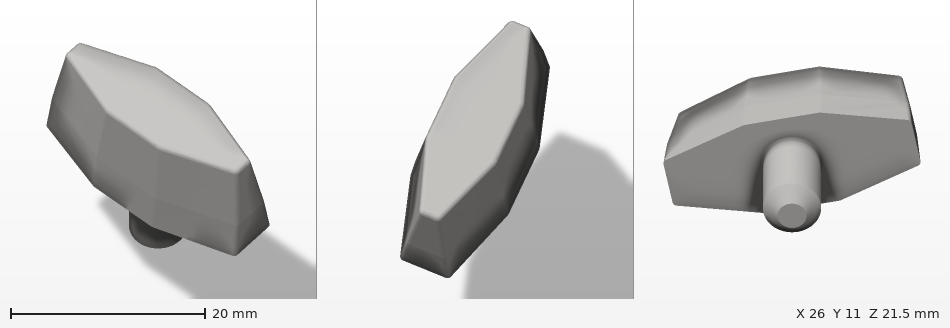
import cadquery as cq

head_length = 26.0
head_width = 11.0
overall_height = 21.5
stem_length = 10.0
head_height = overall_height - stem_length
break_height = 4.32

stem_diameter = 6.0
tip_chamfer = 1.5
root_fillet = 0.23

end_corner_radius = 0.5
side_corner_radius = 1.0
top_edge_radius = 0.5

tolerance = 2.6e-07

base_section = (head_length / 2, head_width / 2, 3.98, 2.75)
break_section = (12.75, 4.97, 3.98, 2.15)
top_section = (11.73, 3.87, 3.61, 1.07)


def octagon_wire(section, height):
    """Closed octagon with rounded corners, symmetric about X and Y."""
    half_length, half_width, side_flat, end_flat = section
    corners = [
        (half_length, -end_flat),
        (half_length, end_flat),
        (side_flat, half_width),
        (-side_flat, half_width),
        (-half_length, end_flat),
        (-half_length, -end_flat),
        (-side_flat, -half_width),
        (side_flat, -half_width),
    ]
    wire = cq.Wire.makePolygon([cq.Vector(x, y, height) for x, y in corners], close=True)
    end_corners = [v for v in wire.Vertices() if abs(v.X) > side_flat + tolerance]
    wire = wire.fillet2D(end_corner_radius, end_corners)

    side_corners = [v for v in wire.Vertices() if abs(v.X) <= side_flat + tolerance]
    return wire.fillet2D(side_corner_radius, side_corners)


def make_head():
    """Two tapered octagonal tiers with a rounded upper rim."""
    base = octagon_wire(base_section, 0)
    middle = octagon_wire(break_section, break_height)
    top = octagon_wire(top_section, head_height)
    lower_tier = cq.Workplane(cq.Solid.makeLoft([base, middle], True))
    upper_tier = cq.Workplane(cq.Solid.makeLoft([middle, top], True))
    upper_tier = upper_tier.faces(">Z").edges().fillet(top_edge_radius)
    return lower_tier.union(upper_tier)


def make_stem():
    """Round stem with a filleted root and a chamfered tip."""
    radius = stem_diameter / 2
    return (
        cq.Workplane("XZ")
        .moveTo(0, 0)
        .lineTo(radius + root_fillet, 0)
        .radiusArc((radius, -root_fillet), -root_fillet)
        .lineTo(radius, tip_chamfer - stem_length)
        .lineTo(radius - tip_chamfer, -stem_length)
        .lineTo(0, -stem_length)
        .close()
        .revolve(360, (0, 0, 0), (0, 1, 0))
    )


result = make_head().union(make_stem())